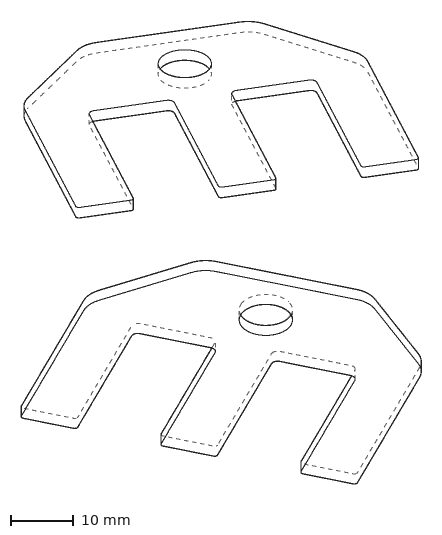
import cadquery as cq

length = 48.0
width = 56.5
thickness = 2.0

finger_count = 3
finger_width = 9.5
finger_length = 27.95
slot_count = finger_count - 1
slot_width = (width - finger_count * finger_width) / slot_count
slot_pitch = finger_width + slot_width

slope_length = 15.0
slope_width = 14.3
slope_radius = 5.05

tip_radius = 0.5
slot_radius = 1.0

hole_diameter = 8.5
hole_from_back = 10.0

back_x = -length / 2
tip_x = length / 2
slot_floor_x = tip_x - finger_length
half_width = width / 2


def make_plate():
    """Plate with two rounded, sloped corners at the closed end."""
    plate = (
        cq.Workplane("XY")
        .polyline([
            (tip_x, -half_width),
            (tip_x, half_width),
            (back_x + slope_length, half_width),
            (back_x, half_width - slope_width),
            (back_x, slope_width - half_width),
            (back_x + slope_length, -half_width),
        ])
        .close()
        .extrude(thickness)
    )
    return plate.edges("|Z").edges("not(>X)").fillet(slope_radius)


def make_slot(center_y):
    """Slot cutter with rounded inner corners, running out past the finger tips."""
    overrun = slot_radius
    return (
        cq.Workplane("XY")
        .box(finger_length + overrun, slot_width, thickness, centered=(False, True, False))
        .edges("|Z and <X")
        .fillet(slot_radius)
        .translate((slot_floor_x, center_y, 0))
    )


result = make_plate()
for index in range(slot_count):
    result = result.cut(make_slot((index - (slot_count - 1) / 2) * slot_pitch))

result = result.edges("|Z and >X").fillet(tip_radius)

hole = (
    cq.Workplane("XY")
    .center(back_x + hole_from_back, 0)
    .circle(hole_diameter / 2)
    .extrude(thickness)
)
result = result.cut(hole)